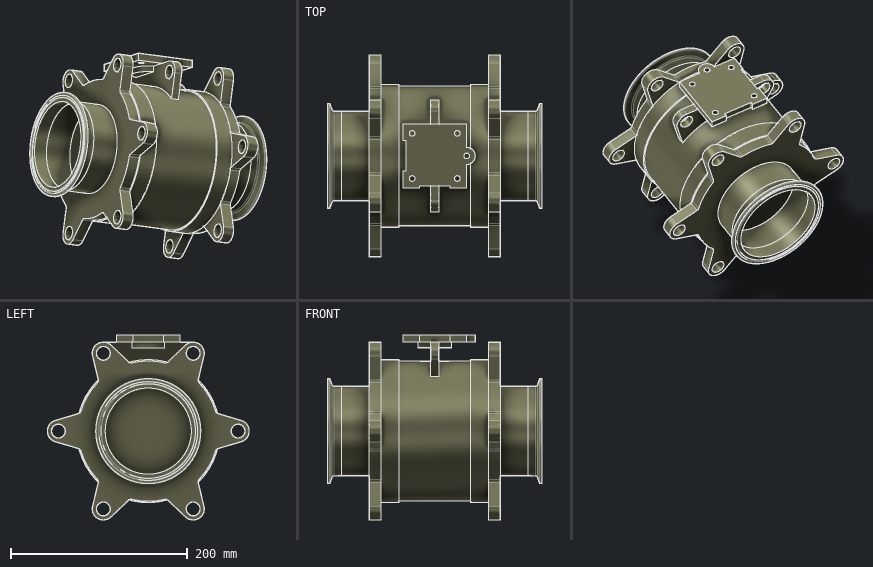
import cadquery as cq
import math

LENGTH = 243.0
BORE_RADIUS = 97.5 / 2
TUBE_RADIUS = 101.5 / 2

RIM_RADIUS = 118.9 / 2
RIM_THICKNESS = 3.0
RIM_ROUND = 0.7
CONE_ANGLE = 20.0
CONE_ROOT_ROUND = 2.0
FERRULE_LENGTH = 16.0
GROOVE_CENTER_RADIUS = 54.7
GROOVE_RADIUS = 1.2
GROOVE_EDGE_ROUND = 0.5

FLANGE_FACE_X = 74.1
FLANGE_THICKNESS = 13.4
FLANGE_RADIUS = 158.7 / 2
FLANGE_BACK_X = FLANGE_FACE_X - FLANGE_THICKNESS
EAR_COUNT = 6
EAR_RADIUS = 12.6
EAR_HOLE_DIAMETER = 15.3
EAR_REACH = 228.5 / 2
EAR_TAPER = 16.5
EAR_ROOT_ROUND = 3.5
BOLT_RADIUS = EAR_REACH - EAR_RADIUS

BODY_RADIUS = FLANGE_RADIUS
END_RING_RADIUS = 162.0 / 2
END_RING_WIDTH = 20.2

LUG_THICKNESS = 9.2
LUG_BOLT_ANGLE = 60.0
LUG_FRONT_LEAN = 90.0 - LUG_BOLT_ANGLE
LUG_BACK_LEAN = 90.0 - LUG_BOLT_ANGLE - EAR_TAPER
LUG_Y = BOLT_RADIUS * math.cos(math.radians(LUG_BOLT_ANGLE))
LUG_Z = BOLT_RADIUS * math.sin(math.radians(LUG_BOLT_ANGLE))
LUG_TOP_Z = LUG_Z + EAR_RADIUS

PAD_SIZE = 72.2
PAD_THICKNESS = 8.3
PAD_BOSS_RADIUS = 19.0
PAD_BOSS_DEPTH = 6.5
PAD_HOLE_DIAMETER = 6.3
PAD_HOLE_SPACING = 51.0
NOTCH_WIDTH = 34.5
SIDE_NOTCH_DEPTH = 3.5
FRONT_NOTCH_DEPTH = 2.2
TAB_RADIUS = 9.7

TOLERANCE = 0.02


def ring_edge(body, x, radius):
    """The circular edge of the given radius about the X axis, at the given X."""
    return body.edges("%CIRCLE").filter(
        lambda edge: abs(edge.Center().x - x) < TOLERANCE and abs(edge.radius() - radius) < TOLERANCE
    )


def make_ferrule():
    """Clamp ferrule at the -X end: rim with gasket groove, conical back, short tube."""
    face_x = -LENGTH / 2
    cone_x = face_x + RIM_THICKNESS
    cone_length = (RIM_RADIUS - TUBE_RADIUS) * math.tan(math.radians(CONE_ANGLE))
    weld_x = face_x + FERRULE_LENGTH
    ferrule = (
        cq.Workplane("XY")
        .moveTo(face_x, BORE_RADIUS)
        .lineTo(face_x, GROOVE_CENTER_RADIUS - GROOVE_RADIUS)
        .threePointArc(
            (face_x + GROOVE_RADIUS, GROOVE_CENTER_RADIUS),
            (face_x, GROOVE_CENTER_RADIUS + GROOVE_RADIUS),
        )
        .lineTo(face_x, RIM_RADIUS)
        .lineTo(cone_x, RIM_RADIUS)
        .lineTo(cone_x + cone_length, TUBE_RADIUS)
        .lineTo(weld_x, TUBE_RADIUS)
        .lineTo(weld_x, BORE_RADIUS)
        .close()
        .revolve(360, (0, 0, 0), (1, 0, 0))
    )
    ferrule = ring_edge(ferrule, face_x, RIM_RADIUS).fillet(RIM_ROUND)
    ferrule = ring_edge(ferrule, cone_x, RIM_RADIUS).fillet(RIM_ROUND)
    ferrule = ring_edge(ferrule, cone_x + cone_length, TUBE_RADIUS).fillet(CONE_ROOT_ROUND)
    for side in (-1, 1):
        groove_edge_radius = GROOVE_CENTER_RADIUS + side * GROOVE_RADIUS
        ferrule = ring_edge(ferrule, face_x, groove_edge_radius).fillet(GROOVE_EDGE_ROUND)
    return ferrule


def make_ear():
    """One ear pointing along +Y, tapering from inside the flange disc to the ear tip."""
    tangent_y = BOLT_RADIUS + EAR_RADIUS * math.sin(math.radians(EAR_TAPER))
    half_width = EAR_RADIUS * math.cos(math.radians(EAR_TAPER))
    root_y = BOLT_RADIUS / 2
    root_half_width = half_width + (tangent_y - root_y) * math.tan(math.radians(EAR_TAPER))
    return (
        cq.Workplane("YZ", origin=(-FLANGE_FACE_X, 0, 0))
        .moveTo(root_y, -root_half_width)
        .lineTo(tangent_y, -half_width)
        .threePointArc((EAR_REACH, 0), (tangent_y, half_width))
        .lineTo(root_y, root_half_width)
        .close()
        .extrude(FLANGE_THICKNESS)
    )


def make_end_cap():
    """End cap at the -X end: eared flange with a tube stub on its face."""
    face = cq.Workplane("YZ", origin=(-FLANGE_FACE_X, 0, 0))
    flange = face.circle(FLANGE_RADIUS).extrude(FLANGE_THICKNESS)
    ear = make_ear()
    for index in range(EAR_COUNT):
        turn = index * 360 / EAR_COUNT
        flange = flange.union(ear.rotate((0, 0, 0), (1, 0, 0), turn))
    root_corners = flange.edges("|X").filter(
        lambda edge: abs(math.hypot(edge.Center().y, edge.Center().z) - FLANGE_RADIUS) < TOLERANCE
    )
    flange = root_corners.fillet(EAR_ROOT_ROUND)
    holes = face.polarArray(BOLT_RADIUS, 0, 360, EAR_COUNT).circle(EAR_HOLE_DIAMETER / 2)
    flange = flange.cut(holes.extrude(FLANGE_THICKNESS))
    stub_length = LENGTH / 2 - FERRULE_LENGTH - FLANGE_FACE_X
    stub = face.circle(TUBE_RADIUS).circle(BORE_RADIUS).extrude(-stub_length)
    return flange.union(stub)


def make_lug_half(lean):
    """The +Y half of the lug plate; its outer edge leans inward below the lug by the given angle."""
    lean_angle = math.radians(lean)
    tangent_y = LUG_Y + EAR_RADIUS * math.cos(lean_angle)
    tangent_z = LUG_Z - EAR_RADIUS * math.sin(lean_angle)
    arc_y = LUG_Y + EAR_RADIUS * math.cos(math.pi / 4)
    arc_z = LUG_Z + EAR_RADIUS * math.sin(math.pi / 4)
    foot_z = LUG_Z / 2
    foot_y = tangent_y - (tangent_z - foot_z) * math.tan(lean_angle)
    return (
        cq.Workplane("YZ")
        .moveTo(0, foot_z)
        .lineTo(foot_y, foot_z)
        .lineTo(tangent_y, tangent_z)
        .threePointArc((arc_y, arc_z), (LUG_Y, LUG_TOP_Z))
        .lineTo(0, LUG_TOP_Z)
        .close()
        .extrude(LUG_THICKNESS / 2, both=True)
    )


def make_lug_plate():
    """Flat plate across the body with a bolt lug at each side."""
    front_half = make_lug_half(LUG_FRONT_LEAN).mirror("XZ")
    plate = make_lug_half(LUG_BACK_LEAN).union(front_half)
    holes = (
        cq.Workplane("YZ")
        .pushPoints([(-LUG_Y, LUG_Z), (LUG_Y, LUG_Z)])
        .circle(EAR_HOLE_DIAMETER / 2)
        .extrude(LUG_THICKNESS, both=True)
    )
    return plate.cut(holes)


def make_mounting_pad():
    """Square pad with a round boss below, two edge notches, a tab and five holes."""
    half = PAD_SIZE / 2
    bottom = cq.Workplane("XY", origin=(0, 0, LUG_TOP_Z))
    pad = bottom.rect(PAD_SIZE, PAD_SIZE).extrude(PAD_THICKNESS)
    pad = pad.union(bottom.center(half, 0).circle(TAB_RADIUS).extrude(PAD_THICKNESS))
    side_notch = bottom.center(-half, 0).rect(2 * SIDE_NOTCH_DEPTH, NOTCH_WIDTH).extrude(PAD_THICKNESS)
    front_notch = bottom.center(0, -half).rect(NOTCH_WIDTH, 2 * FRONT_NOTCH_DEPTH).extrude(PAD_THICKNESS)
    pad = pad.cut(side_notch).cut(front_notch)
    holes = (
        bottom.rect(PAD_HOLE_SPACING, PAD_HOLE_SPACING, forConstruction=True)
        .vertices()
        .circle(PAD_HOLE_DIAMETER / 2)
        .extrude(PAD_THICKNESS)
    )
    tab_hole = bottom.center(half, 0).circle(PAD_HOLE_DIAMETER / 2).extrude(PAD_THICKNESS)
    boss = bottom.circle(PAD_BOSS_RADIUS).extrude(-PAD_BOSS_DEPTH)
    return pad.cut(holes).cut(tab_hole).union(boss)


def make_valve_body():
    """Closed cylinder between the flanges, with end rings, lug plate and mounting pad."""
    body = cq.Workplane("YZ").circle(BODY_RADIUS).extrude(FLANGE_BACK_X, both=True)
    for side in (-1, 1):
        ring = (
            cq.Workplane("YZ", origin=(side * FLANGE_BACK_X, 0, 0))
            .circle(END_RING_RADIUS)
            .extrude(-side * END_RING_WIDTH)
        )
        body = body.union(ring)
    return body.union(make_lug_plate()).union(make_mounting_pad())


valve_body = make_valve_body()

end_caps = []
ferrules = []
for turn in (0, 180):
    end_caps.append(make_end_cap().rotate((0, 0, 0), (0, 0, 1), turn).val())
    ferrules.append(make_ferrule().rotate((0, 0, 0), (0, 0, 1), turn).val())

result = cq.Compound.makeCompound([valve_body.val(), *end_caps, *ferrules])